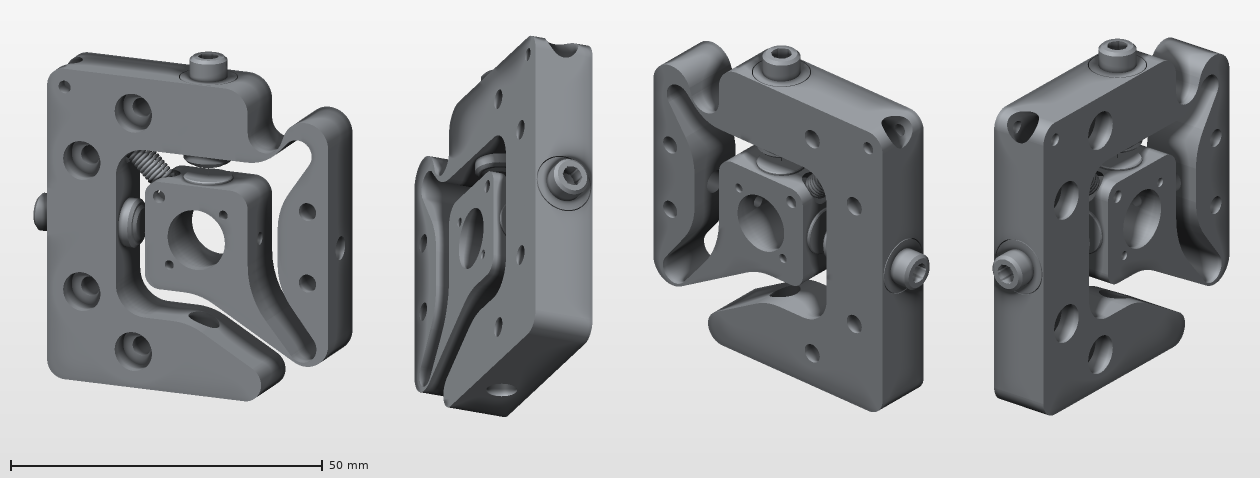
import cadquery as cq
import math


THICKNESS = 10.0
MID_Y = THICKNESS / 2
FRAME_REACH = 26.05
WINDOW_REACH = 14.05
STAGE_REACH = 9.0
CORNER_R = 3.0
STAGE_LEFT_R = 2.5
TOP_RIGHT_R = 4.0
WINDOW_R = 5.0
SHOULDER_R = 10.0
ARM_TIP_X = 8.3
NECK_X = 12.0
NECK_Z = 19.0
LOBE_X = 19.05
LOBE_R = 4.0
LOBE_TOP_Z = 17.85
LOBE_BOTTOM_Z = -15.0
UPPER_SLOT = (17.65, 16.3, 2.5)
LOWER_SLOT = (18.5, -15.9, 2.5)
UPPER_SWEEP_X = 8.8
UPPER_SWEEP_R = 7.5
POST_FACE_X = 14.2
POST_R = 11.0
POST_UPPER_ROUND_Z = 3.5
POST_LOWER_ROUND_Z = -2.5
STAGE_SWEEP_R = 13.9
STAGE_SWEEP_Z = -3.35
STAGE_SHOULDER_X = -2.05
ARM_SHOULDER_X = -4.0

BORE_D = 10.0
MOUNT_HOLE_D = 3.2
MOUNT_BORE_D = 6.5
MOUNT_BORE_DEPTH = 3.5
MOUNT_NEAR = 11.0
MOUNT_FAR = 20.0
POST_HOLE_D = 3.0
POST_HOLE_X = 19.4
POST_HOLE_Z = (7.0, -5.0)
STAGE_HOLE_D = 1.55
STAGE_HOLE_OFFSET = 4.7
PIN_HOLE_D = 2.1
FRAME_PIN_OFFSET = 23.0
STAGE_PIN_OFFSET = 6.5
POST_ACCESS_D = 3.9
ARM_ACCESS_D = 5.0
ARM_ACCESS_X = -0.8
STAGE_ACCESS_D = 2.1
SPRING_BORE_D = 5.55
SPRING_BORE_START = 7.75

ADJUSTER_ANGLES = (0, 90)
SCREW_D = 6.1
SCREW_TOP = 29.45
SCREW_TIP = 11.5
SCREW_CHAMFER = 0.5
SOCKET_FLATS = 3.0
SOCKET_DRILL_D = 3.2
SOCKET_DEPTH = 3.0
BUSHING_D = 8.0
BUSHING_END = 12.0
BUSHING_CHAMFER = 0.5
FLANGE_D = 9.2
FLANGE_THICKNESS = 2.0
FLANGE_SEAT_D = 9.55
PAD_D = 8.0
PAD_TOP = 9.5
PAD_THICKNESS = 1.5
PAD_CHAMFER = 0.15
TIP_PIN_D = 0.2

SPRING_ANGLE = 45
SPRING_OUTER_D = 4.2
WIRE_D = 0.6
COIL_PITCH = 0.65
COIL_START = 10.65
COIL_COUNT = 14


def belt(rounds):
    """Closed face outline that runs tangent to each round: (x, z, radius, turn).

    Turn is +1 where the outline turns left around the round and -1 where it turns right.
    """
    ends = []
    for (x0, z0, r0, t0), (x1, z1, r1, t1) in zip(rounds, rounds[1:] + rounds[:1]):
        gap = math.hypot(x1 - x0, z1 - z0)
        heading = math.atan2(z1 - z0, x1 - x0) + math.asin((t0 * r0 - t1 * r1) / gap)
        right = heading - math.pi / 2
        leave = (x0 + t0 * r0 * math.cos(right), z0 + t0 * r0 * math.sin(right))
        arrive = (x1 + t1 * r1 * math.cos(right), z1 + t1 * r1 * math.sin(right))
        ends.append((heading, leave, arrive))

    outline = cq.Workplane("XZ").moveTo(*ends[-1][2])
    for i, (x, z, r, turn) in enumerate(rounds):
        before = ends[i - 1][0]
        swing = turn * ((turn * (ends[i][0] - before)) % (2 * math.pi))
        middle = before + swing / 2 - math.pi / 2
        crown = (x + turn * r * math.cos(middle), z + turn * r * math.sin(middle))
        outline = outline.threePointArc(crown, ends[i][1]).lineTo(*ends[i][2])
    return outline.close()


def plate_rounds():
    frame = FRAME_REACH - CORNER_R
    window = WINDOW_REACH - WINDOW_R
    stage_left = STAGE_REACH - STAGE_LEFT_R
    stage_right = STAGE_REACH - CORNER_R
    return [
        (-frame, -frame, CORNER_R, 1),
        (ARM_TIP_X, -frame, CORNER_R, 1),
        (ARM_SHOULDER_X, -WINDOW_REACH - SHOULDER_R, SHOULDER_R, 1),
        (-window, -window, WINDOW_R, -1),
        (-window, window, WINDOW_R, -1),
        (UPPER_SWEEP_X, WINDOW_REACH + UPPER_SWEEP_R, UPPER_SWEEP_R, 1),
        (*UPPER_SLOT, -1),
        (POST_FACE_X + POST_R, POST_UPPER_ROUND_Z, POST_R, 1),
        (POST_FACE_X + POST_R, POST_LOWER_ROUND_Z, POST_R, 1),
        (*LOWER_SLOT, -1),
        (STAGE_REACH + STAGE_SWEEP_R, STAGE_SWEEP_Z, STAGE_SWEEP_R, -1),
        (stage_right, stage_right, CORNER_R, 1),
        (-stage_left, stage_left, STAGE_LEFT_R, 1),
        (-stage_left, -stage_left, STAGE_LEFT_R, 1),
        (STAGE_SHOULDER_X, -STAGE_REACH - SHOULDER_R, SHOULDER_R, -1),
        (LOBE_X, LOBE_BOTTOM_Z, LOBE_R, 1),
        (LOBE_X, LOBE_TOP_Z, LOBE_R, 1),
        (NECK_X, NECK_Z, CORNER_R, -1),
        (STAGE_REACH - TOP_RIGHT_R, FRAME_REACH - TOP_RIGHT_R, TOP_RIGHT_R, 1),
        (-frame, frame, CORNER_R, 1),
    ]


def cross_holes(points, diameter, depth=THICKNESS):
    """Cylinders along Y from the front face."""
    return cq.Workplane("XZ").pushPoints(points).circle(diameter / 2).extrude(-depth)


def rod(diameter, start, end):
    """Cylinder on the vertical adjuster axis between two heights."""
    return cq.Workplane("XY", origin=(0, MID_Y, start)).circle(diameter / 2).extrude(end - start)


def turned(body, degrees):
    """Turn a vertical body about the stage bore axis; positive turns up towards the left."""
    return body.rotate((0, 0, 0), (0, 1, 0), -degrees)


def make_plate():
    plate = belt(plate_rounds()).extrude(-THICKNESS)
    mounts = [
        (-MOUNT_NEAR, MOUNT_FAR),
        (-MOUNT_FAR, MOUNT_NEAR),
        (-MOUNT_FAR, -MOUNT_NEAR),
        (-MOUNT_NEAR, -MOUNT_FAR),
    ]
    plate = plate.cut(cross_holes([(0, 0)], BORE_D))
    plate = plate.cut(cross_holes(mounts, MOUNT_HOLE_D))
    plate = plate.cut(cross_holes(mounts, MOUNT_BORE_D, MOUNT_BORE_DEPTH))
    plate = plate.cut(cross_holes([(POST_HOLE_X, z) for z in POST_HOLE_Z], POST_HOLE_D))
    stage_holes = [(side * STAGE_HOLE_OFFSET, side * STAGE_HOLE_OFFSET) for side in (-1, 1)]
    plate = plate.cut(cross_holes(stage_holes, STAGE_HOLE_D))
    pin_holes = [(-offset, offset) for offset in (FRAME_PIN_OFFSET, STAGE_PIN_OFFSET)]
    plate = plate.cut(cross_holes(pin_holes, PIN_HOLE_D))

    for angle in ADJUSTER_ANGLES:
        seat = rod(BUSHING_D, BUSHING_END, FRAME_REACH)
        seat = seat.union(rod(FLANGE_SEAT_D, FRAME_REACH - FLANGE_THICKNESS, FRAME_REACH))
        seat = seat.union(rod(PAD_D, PAD_TOP - PAD_THICKNESS, PAD_TOP))
        plate = plate.cut(turned(seat, angle))

    arm_access = rod(ARM_ACCESS_D, -FRAME_REACH, -WINDOW_REACH)
    plate = plate.cut(arm_access.translate((ARM_ACCESS_X, 0, 0)))
    plate = plate.cut(turned(rod(POST_ACCESS_D, -FRAME_REACH, -WINDOW_REACH), 90))
    plate = plate.cut(turned(rod(STAGE_ACCESS_D, -WINDOW_REACH, 0), 90))

    corner = FRAME_REACH * math.sqrt(2)
    return plate.cut(turned(rod(SPRING_BORE_D, SPRING_BORE_START, corner), SPRING_ANGLE))


def make_screw():
    screw = rod(SCREW_D, SCREW_TIP, SCREW_TOP).faces("<Z or >Z").chamfer(SCREW_CHAMFER)
    corners_d = SOCKET_FLATS / math.cos(math.pi / 6)
    floor = SCREW_TOP - SOCKET_DEPTH
    socket = (
        cq.Workplane("XY", origin=(0, MID_Y, floor))
        .transformed(rotate=(0, 0, 90))
        .polygon(6, corners_d)
        .extrude(SOCKET_DEPTH)
    )
    socket = socket.union(rod(SOCKET_DRILL_D, floor, SCREW_TOP))
    point_depth = SOCKET_DRILL_D / 4
    point_start = cq.Vector(0, MID_Y, floor - point_depth)
    drill_point = cq.Solid.makeCone(0, SOCKET_DRILL_D / 2, point_depth, point_start)
    return screw.cut(socket).cut(cq.Workplane(drill_point))


def make_bushing():
    bushing = rod(BUSHING_D, BUSHING_END, FRAME_REACH).faces("<Z").chamfer(BUSHING_CHAMFER)
    bushing = bushing.union(rod(FLANGE_D, FRAME_REACH - FLANGE_THICKNESS, FRAME_REACH))
    return bushing.cut(rod(SCREW_D, SCREW_TIP + SCREW_CHAMFER, SCREW_TOP))


def make_pad():
    return rod(PAD_D, PAD_TOP - PAD_THICKNESS, PAD_TOP).faces(">Z").chamfer(PAD_CHAMFER)


def make_tip_pin():
    return rod(TIP_PIN_D, PAD_TOP, SCREW_TIP)


def make_spring():
    mean_r = (SPRING_OUTER_D - WIRE_D) / 2
    helix = cq.Wire.makeHelix(COIL_PITCH, COIL_PITCH * COIL_COUNT, mean_r)
    spring = (
        cq.Workplane("XZ", origin=(mean_r, 0, 0))
        .circle(WIRE_D / 2)
        .sweep(cq.Workplane(helix), isFrenet=True)
        .translate((0, MID_Y, COIL_START))
    )
    return turned(spring, SPRING_ANGLE)


plate = make_plate()
screws = [turned(make_screw(), angle) for angle in ADJUSTER_ANGLES]
bushings = [turned(make_bushing(), angle) for angle in ADJUSTER_ANGLES]
pads = [turned(make_pad(), angle) for angle in ADJUSTER_ANGLES]
tip_pin = make_tip_pin()
spring = make_spring()

result = cq.Compound.makeCompound(
    [body.val() for body in [plate, *screws, *bushings, *pads, tip_pin, spring]]
)